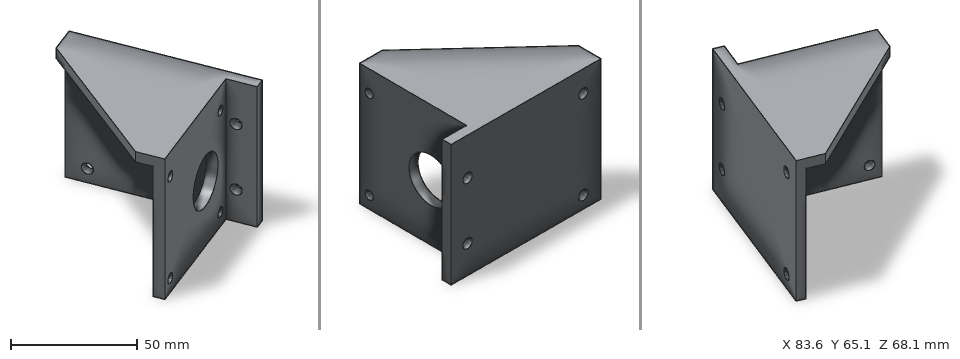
import cadquery as cq

length = 83.6
depth = 65.1
height = 68.1

wall_thickness = 5.0
flange_thickness = 5.0
back_thickness = 4.2
top_thickness = 5.0

flange_width = 13.5
wall_right = length - flange_width
wall_left = wall_right - wall_thickness

gusset_end = 12.7

hole_center_z = 31.5
wall_hole_diameter = 4.6
wall_hole_spacing = 49.3
wall_hole_center_y = -35.0
bore_diameter = 24.4
bore_y = -25.1
plate_hole_diameter = 5.2
back_hole_x = 9.8
flange_hole_x = 74.4
flange_hole_spacing = 31.75


def block(x_start, x_end, y_depth):
    """Full-height block reaching forward from the back face."""
    return cq.Workplane("XY").box(x_end - x_start, y_depth, height, centered=False).translate(
        (x_start, -y_depth, 0)
    )


def hole_along_x(y, z, diameter):
    """Cutter through the upright wall."""
    return cq.Workplane("YZ").center(y, z).circle(diameter / 2).extrude(length)


def hole_along_y(x, z, diameter):
    """Cutter through the back plate or the flange."""
    return cq.Workplane("XZ").center(x, z).circle(diameter / 2).extrude(depth)


back_plate = block(0, wall_left, back_thickness)
wall = block(wall_left, wall_right, depth)
flange = block(wall_right, length, flange_thickness)

gusset = (
    cq.Workplane("XY")
    .workplane(offset=height - top_thickness)
    .polyline(
        [
            (0, 0),
            (wall_right, 0),
            (wall_right, -depth),
            (wall_right - gusset_end, -depth),
            (0, -gusset_end),
        ]
    )
    .close()
    .extrude(top_thickness)
)

result = back_plate.union(wall).union(flange).union(gusset)

result = result.cut(hole_along_x(bore_y, hole_center_z, bore_diameter))
for side_y in (-1, 1):
    for side_z in (-1, 1):
        y = wall_hole_center_y + side_y * wall_hole_spacing / 2
        z = hole_center_z + side_z * wall_hole_spacing / 2
        result = result.cut(hole_along_x(y, z, wall_hole_diameter))

for x, spacing in ((back_hole_x, wall_hole_spacing), (flange_hole_x, flange_hole_spacing)):
    for side_z in (-1, 1):
        z = hole_center_z + side_z * spacing / 2
        result = result.cut(hole_along_y(x, z, plate_hole_diameter))